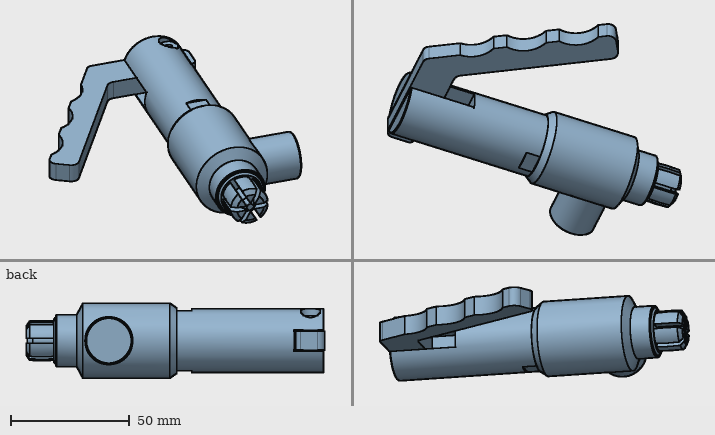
import cadquery as cq
import math


HOUSING_START = 0.4
NECK_START = 56.1
COLLAR_START = 62.3
BARREL_START = 65.3
BARREL_END = 102.0
NOSE_START = 104.6
NOSE_END = 113.3
TIP_START = 114.2
TIP_CHAMFER_START = 124.4
TIP_END = 125.9

GRIP_RADIUS = 27.0 / 2
COLLAR_START_RADIUS = 27.5 / 2
BARREL_RADIUS = 31.7 / 2
NOSE_RADIUS = 22.0 / 2
STEP_START_RADIUS = 20.1 / 2
STEP_END_RADIUS = 9.1
TIP_RADIUS = 8.3
TIP_BULGE = 0.19
TIP_FACE_RADIUS = 6.0
EDGE_CHAMFER = 0.4

FLAT_HEIGHT = 12.7

OUTLET_X = 91.0
OUTLET_RADIUS = 20.1 / 2
OUTLET_END = 31.6
OUTLET_CHAMFER = 0.6

SLIT_COUNT = 6
SLIT_WIDTH = 2.0
CORE_RADIUS = 6.8 / 2
CORE_CONE_LENGTH = 2.5
CORE_CONE_DEPTH = 1.9
CORE_SETBACK = 0.4

LEVER_THICKNESS = 8.0
LEVER_WIDTH = 15.6
HEEL_WIDTH = 12.2
HEEL_TOP = 15.5
HEEL_STEP_Y = 0.0
HEEL_BACK_RADIUS = 3.1
HEEL_FRONT_RADIUS = 1.8
HANDLE_ANGLE = 30.0
HANDLE_CORNER_Y = -25.0
HANDLE_LENGTH = 69.6
HANDLE_DEPTH = 12.6
HANDLE_ROOT_DEPTH = 11.1
ELBOW_RADIUS = 3.0
ELBOW_INNER_RADIUS = 3.8
HANDLE_END_RADIUS = 3.4

GROOVE_COUNT = 3
GROOVE_PITCH = 22.3
GROOVE_FIRST = 9.7
GROOVE_RADIUS = 12.6
GROOVE_DEPTH = 3.1

SLOT_WIDTH = 8.8
SLOT_SHORT_END = 13.0
SLOT_LONG_END = 29.1
SLOT_CLEARANCE = 0.4

PIN_X = 6.0
PIN_Y = 5.2
PIN_HEAD_RADIUS = 8.2 / 2
PIN_HEAD_TOP = 10.6
PIN_HEAD_HEIGHT = 2.5
PIN_SHANK_RADIUS = 6.5 / 2
PIN_SHANK_END = -8.8
PIN_DIMPLE_RADIUS = 1.5
PIN_DIMPLE_DEPTH = 1.3
PIN_CLEARANCE = 0.1
HEAD_RECESS_RADIUS = 8.3 / 2


def box_between(x_range, y_range, z_range):
    """Box spanning the given (low, high) ranges."""
    sizes = [high - low for low, high in (x_range, y_range, z_range)]
    lows = (x_range[0], y_range[0], z_range[0])
    return cq.Workplane("XY").box(*sizes, centered=False).translate(lows)


def pivot_cylinder(radius, bottom, top):
    """Upright cylinder on the pivot axis."""
    return cq.Workplane("XY", origin=(PIN_X, PIN_Y, bottom)).circle(radius).extrude(top - bottom)


def turned_housing():
    """Revolved outline of the grip, barrel, nose and slightly bulged tip."""
    tip_middle = (TIP_START + TIP_CHAMFER_START) / 2
    return (
        cq.Workplane("XY")
        .moveTo(HOUSING_START, 0)
        .lineTo(HOUSING_START, GRIP_RADIUS - EDGE_CHAMFER)
        .lineTo(HOUSING_START + EDGE_CHAMFER, GRIP_RADIUS)
        .lineTo(COLLAR_START, GRIP_RADIUS)
        .lineTo(COLLAR_START, COLLAR_START_RADIUS)
        .lineTo(BARREL_START, BARREL_RADIUS)
        .lineTo(BARREL_END, BARREL_RADIUS)
        .lineTo(NOSE_START, NOSE_RADIUS)
        .lineTo(NOSE_END - EDGE_CHAMFER, NOSE_RADIUS)
        .lineTo(NOSE_END, NOSE_RADIUS - EDGE_CHAMFER)
        .lineTo(NOSE_END, STEP_START_RADIUS)
        .lineTo(TIP_START, STEP_END_RADIUS)
        .lineTo(TIP_START, TIP_RADIUS)
        .threePointArc((tip_middle, TIP_RADIUS + TIP_BULGE), (TIP_CHAMFER_START, TIP_RADIUS))
        .lineTo(TIP_END, TIP_FACE_RADIUS)
        .lineTo(TIP_END, 0)
        .close()
        .revolve(360, (0, 0, 0), (1, 0, 0))
    )


def side_outlet():
    """Round stub that leaves the barrel towards +Y."""
    return (
        cq.Workplane("XZ", origin=(OUTLET_X, 0, 0))
        .circle(OUTLET_RADIUS)
        .extrude(-OUTLET_END)
        .faces(">Y")
        .chamfer(OUTLET_CHAMFER)
    )


def neck_flats():
    """Cutters for two opposite wrench flats on the neck."""
    neck = (NECK_START, COLLAR_START)
    across = (-GRIP_RADIUS, GRIP_RADIUS)
    upper = box_between(neck, across, (FLAT_HEIGHT, BARREL_RADIUS))
    return upper.union(upper.mirror("XY"))


def tip_slits():
    """Cutter for the slits around the tip, which leave a solid core with a coned end."""
    core_end = TIP_END - CORE_SETBACK
    slits = cq.Workplane("XY")
    for i in range(SLIT_COUNT):
        slit = box_between(
            (TIP_START, TIP_END), (0, BARREL_RADIUS), (-SLIT_WIDTH / 2, SLIT_WIDTH / 2)
        )
        slits = slits.union(slit.rotate((0, 0, 0), (1, 0, 0), i * 360 / SLIT_COUNT))
    core = (
        cq.Workplane("XY")
        .moveTo(TIP_START, 0)
        .lineTo(TIP_START, CORE_RADIUS)
        .lineTo(core_end - CORE_CONE_LENGTH, CORE_RADIUS)
        .lineTo(core_end, CORE_RADIUS - CORE_CONE_DEPTH)
        .lineTo(core_end, 0)
        .close()
        .revolve(360, (0, 0, 0), (1, 0, 0))
    )
    return slits.cut(core)


def lever_slot():
    """Stepped slot: long on the handle side (-Y), short on the heel side (+Y)."""
    step_y = HEEL_STEP_Y + SLOT_CLEARANCE
    height = (-SLOT_WIDTH / 2, SLOT_WIDTH / 2)
    long_side = box_between((0, SLOT_LONG_END), (-BARREL_RADIUS, step_y), height)
    short_side = box_between((0, SLOT_SHORT_END), (step_y, BARREL_RADIUS), height)
    return long_side.union(short_side)


def make_housing():
    head_bottom = PIN_HEAD_TOP - PIN_HEAD_HEIGHT
    return (
        turned_housing()
        .union(side_outlet())
        .cut(neck_flats())
        .cut(tip_slits())
        .cut(lever_slot())
        .cut(pivot_cylinder(HEAD_RECESS_RADIUS, head_bottom, BARREL_RADIUS))
        .cut(pivot_cylinder(PIN_SHANK_RADIUS + PIN_CLEARANCE, PIN_SHANK_END, head_bottom))
    )


def handle_point(along, depth):
    """Point at a distance along the handle's upper edge and a depth square to it."""
    angle = math.radians(HANDLE_ANGLE)
    x = LEVER_WIDTH + along * math.cos(angle) - depth * math.sin(angle)
    y = HANDLE_CORNER_Y - along * math.sin(angle) - depth * math.cos(angle)
    return (x, y)


def rounded(lever, point, radius):
    """Fillet the upright edge of the lever at the given outline point."""
    nearest = cq.selectors.NearestToPointSelector((point[0], point[1], 0))
    return lever.edges("|Z").edges(nearest).fillet(radius)


def make_lever():
    angle = math.radians(HANDLE_ANGLE)
    elbow_along = (HANDLE_ROOT_DEPTH * math.sin(angle) - LEVER_WIDTH) / math.cos(angle)
    elbow = handle_point(elbow_along, HANDLE_ROOT_DEPTH)
    inner_elbow = handle_point(0, 0)
    end_top = handle_point(HANDLE_LENGTH, 0)
    end_bottom = handle_point(HANDLE_LENGTH, HANDLE_DEPTH)
    heel_back = (0, HEEL_TOP)
    heel_front = (HEEL_WIDTH, HEEL_TOP)
    outline = [
        heel_back,
        heel_front,
        (HEEL_WIDTH, HEEL_STEP_Y),
        (LEVER_WIDTH, HEEL_STEP_Y),
        inner_elbow,
        end_top,
        end_bottom,
        handle_point(GROOVE_FIRST, HANDLE_DEPTH),
        handle_point(GROOVE_FIRST, HANDLE_ROOT_DEPTH),
        elbow,
    ]
    lever = cq.Workplane("XY").polyline(outline).close().extrude(LEVER_THICKNESS / 2, both=True)

    lever = rounded(lever, heel_back, HEEL_BACK_RADIUS)
    lever = rounded(lever, heel_front, HEEL_FRONT_RADIUS)
    lever = rounded(lever, inner_elbow, ELBOW_INNER_RADIUS)
    lever = rounded(lever, elbow, ELBOW_RADIUS)
    lever = rounded(lever, end_top, HANDLE_END_RADIUS)
    lever = rounded(lever, end_bottom, HANDLE_END_RADIUS)

    groove_centre_depth = HANDLE_DEPTH - GROOVE_DEPTH + GROOVE_RADIUS
    for i in range(GROOVE_COUNT):
        centre = handle_point(GROOVE_FIRST + i * GROOVE_PITCH, groove_centre_depth)
        groove = (
            cq.Workplane("XY").center(*centre).circle(GROOVE_RADIUS).extrude(LEVER_THICKNESS, both=True)
        )
        lever = lever.cut(groove)

    return lever.cut(
        pivot_cylinder(PIN_SHANK_RADIUS + PIN_CLEARANCE, -LEVER_THICKNESS, LEVER_THICKNESS)
    )


def make_pin():
    """Pivot pin with a sunk head and a round dimple in the head."""
    head = pivot_cylinder(PIN_HEAD_RADIUS, PIN_HEAD_TOP - PIN_HEAD_HEIGHT, PIN_HEAD_TOP)
    shank = pivot_cylinder(PIN_SHANK_RADIUS, PIN_SHANK_END, PIN_HEAD_TOP - PIN_HEAD_HEIGHT)
    dimple = pivot_cylinder(PIN_DIMPLE_RADIUS, PIN_HEAD_TOP - PIN_DIMPLE_DEPTH, PIN_HEAD_TOP)
    return head.union(shank).cut(dimple)


housing = make_housing()
lever = make_lever()
pin = make_pin()

result = cq.Compound.makeCompound([housing.val(), lever.val(), pin.val()])